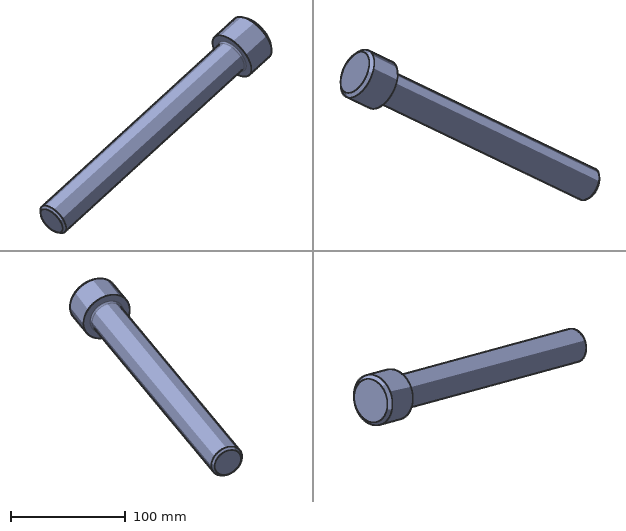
import cadquery as cq

total_length = 270.0
head_diameter = 45.0
head_height = 30.0
shank_diameter = 30.0
head_chamfer_length = 3.0
head_end_diameter = 38.5
tip_chamfer_length = 2.2
tip_diameter = 25.6
neck_fillet = 1.4

shank_length = total_length - head_height
head_radius = head_diameter / 2
head_end_radius = head_end_diameter / 2
shank_radius = shank_diameter / 2
tip_radius = tip_diameter / 2


def make_head():
    """Head turned from a half profile, with a bevelled outer end."""
    profile = (
        cq.Workplane("XY")
        .lineTo(head_radius, 0)
        .lineTo(head_radius, head_height - head_chamfer_length)
        .lineTo(head_end_radius, head_height)
        .lineTo(0, head_height)
        .close()
    )
    return profile.revolve(360, (0, 0, 0), (0, 1, 0))


def make_shank():
    """Shank turned from a half profile, with a flared neck and a bevelled tip."""
    profile = (
        cq.Workplane("XY")
        .lineTo(shank_radius + neck_fillet, 0)
        .radiusArc((shank_radius, -neck_fillet), -neck_fillet)
        .lineTo(shank_radius, tip_chamfer_length - shank_length)
        .lineTo(tip_radius, -shank_length)
        .lineTo(0, -shank_length)
        .close()
    )
    return profile.revolve(360, (0, 0, 0), (0, 1, 0))


result = make_head().union(make_shank())